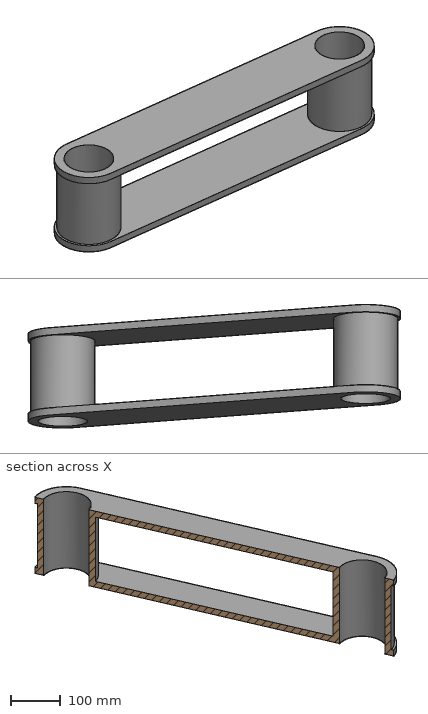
import cadquery as cq

pin_spacing = 655.0
plate_width = 140.0
plate_thickness = 15.0
total_height = 180.0
tube_diameter = 130.0
bore_diameter = 100.0

plate_length = pin_spacing + plate_width
upper_plate_bottom = total_height - plate_thickness
bore_axes = [(0, -pin_spacing / 2), (0, pin_spacing / 2)]


def link_plate(bottom_z):
    """Round-ended plate lying flat, with its underside at bottom_z."""
    return (
        cq.Workplane("XY", origin=(0, 0, bottom_z))
        .slot2D(plate_length, plate_width, angle=90)
        .extrude(plate_thickness)
    )


def upright_cylinders(diameter):
    """Full-height cylinders on both bore axes."""
    return cq.Workplane("XY").pushPoints(bore_axes).circle(diameter / 2).extrude(total_height)


plates = link_plate(0).union(link_plate(upper_plate_bottom))
spacers = upright_cylinders(tube_diameter)
bores = upright_cylinders(bore_diameter)

result = plates.union(spacers).cut(bores)